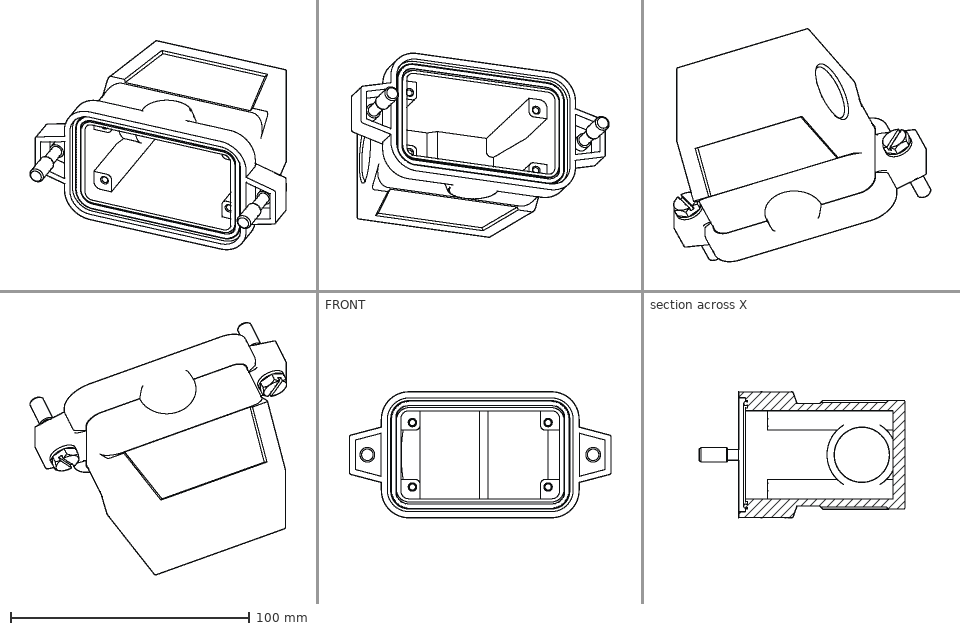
import cadquery as cq
import math


BODY_HALF_X = 36.6
BODY_HALF_Z = 21.6
BODY_RADIUS = 7.0
BACK_Y = 70.0
HOOD_START_Y = 34.0
HOOD_BACK_HALF_X = 29.9
HOOD_HALF_Z = 22.9
HOOD_EDGE_FILLET = 0.9
TAPER = (BODY_HALF_X - HOOD_BACK_HALF_X) / (BACK_Y - HOOD_START_Y)

RECESS_DEPTH = 0.9
RECESS_BACK_Y = 62.9
RECESS_BACK_HALF_X = 24.2

FLANGE_HALF_X = 41.6
FLANGE_HALF_Z = 26.5
FLANGE_TOP_Y = 12.2
FLANGE_SLOPE_Y = 2.2
FLANGE_SLOPE_IN = 4.7
FLANGE_RADIUS = 11.7
FLANGE_FILLET = 0.9

BOSS_BASE_RADIUS = 12.3
BOSS_TOP_RADIUS = 10.6
BOSS_FILLET = 1.0

EAR_TIP_X = 55.0
EAR_TIP_HALF_Z = 8.1
EAR_ROOT_HALF_Z = 11.7
EAR_FILLET = 1.1
EAR_WALL = 2.5

SCREW_X = 47.4
SHANK_RADIUS = 2.3
THREAD_RADIUS = 3.1
NECK_START_Y = 5.3
THREAD_START_Y = -4.6
SCREW_TIP_Y = -16.6
THREAD_CHAMFER = 0.4
TIP_CHAMFER = 0.7
WASHER_RADIUS = 5.9
WASHER_THICKNESS = 1.3
HEAD_CORNER_RADIUS = 6.0
HEAD_TOP_Y = 17.3
HEAD_CHAMFER = 0.9
SLOT_WIDTH = 1.5
SLOT_DEPTH = 1.8
SLOT_ANGLE = 30

CAVITY_HALF_X = 33.3
CAVITY_HALF_Z = 18.5
CAVITY_RADIUS = 3.3
CAVITY_TAPER_START_Y = 36.3
SHALLOW_FLOOR_HALF_X = 28.4
DEEP_FLOOR_Y = 64.9
SHALLOW_FLOOR_Y = 61.8
FLOOR_STEP_START_X = -0.2
FLOOR_STEP_END_X = 3.2
CAVITY_TAPER = (CAVITY_HALF_X - SHALLOW_FLOOR_HALF_X) / (SHALLOW_FLOOR_Y - CAVITY_TAPER_START_Y)

SEAT_HALF_X = 39.0
SEAT_HALF_Z = 23.9
SEAT_DEPTH = 2.8
SEAL_CENTER_HALF_X = 36.4
SEAL_CENTER_HALF_Z = 21.6
SEAL_CENTER_RADIUS = 6.5
SEAL_RADIUS = 0.94
SEAL_RISE = 0.8
GROOVE_INNER_HALF_X = 35.2
GROOVE_INNER_HALF_Z = 19.8
GROOVE_OUTER_GAP = 1.2
GROOVE_DEPTH = 0.9

POST_FRONT_Y = 12.1
POST_INNER_X = 25.3
POST_INNER_Z = 10.3
POST_FILLET = 2.1
POST_HOLE_X = 28.5
POST_HOLE_Z = 13.5
POST_HOLE_RADIUS = 1.3
POST_HOLE_DEPTH = 11.0
POST_HOLE_CHAMFER = 0.4

ENTRY_Y = 51.7
ENTRY_RADIUS = 11.5
ENTRY_RIM_RADIUS = 12.8
COLLAR_RADIUS = 14.6

SIDES = (-1, 1)


def plate(half_x, half_z, radius, start_y, end_y):
    """Rounded rectangle in XZ, extruded along +Y."""
    block = cq.Workplane("XZ", origin=(0, start_y, 0)).rect(2 * half_x, 2 * half_z)
    return block.extrude(start_y - end_y).edges("|Y").fillet(radius)


def disc(x, z, radius, start_y, end_y):
    """Cylinder along Y."""
    return cq.Workplane("XZ", origin=(x, start_y, z)).circle(radius).extrude(start_y - end_y)


def hood():
    """Square back with tapered ends; 45 degree bevels bring it down onto the rounded body."""
    bevel_inner_z = BODY_HALF_Z - BODY_RADIUS
    bevel_start_y = HOOD_START_Y - BODY_RADIUS
    bevel_end_y = HOOD_START_Y + HOOD_HALF_Z - BODY_HALF_Z
    side = (
        cq.Workplane("YZ", origin=(-BODY_HALF_X, 0, 0))
        .moveTo(bevel_start_y, bevel_inner_z)
        .lineTo(bevel_end_y, HOOD_HALF_Z)
        .lineTo(BACK_Y, HOOD_HALF_Z)
        .lineTo(BACK_Y, -HOOD_HALF_Z)
        .lineTo(bevel_end_y, -HOOD_HALF_Z)
        .lineTo(bevel_start_y, -bevel_inner_z)
        .close()
        .extrude(2 * BODY_HALF_X)
    )
    plan = (
        cq.Workplane("XY", origin=(0, 0, -HOOD_HALF_Z))
        .moveTo(-BODY_HALF_X, 0)
        .lineTo(-BODY_HALF_X, HOOD_START_Y)
        .lineTo(-HOOD_BACK_HALF_X, BACK_Y)
        .lineTo(HOOD_BACK_HALF_X, BACK_Y)
        .lineTo(BODY_HALF_X, HOOD_START_Y)
        .lineTo(BODY_HALF_X, 0)
        .close()
        .extrude(2 * HOOD_HALF_Z)
    )
    solid = side.intersect(plan)
    side_edges = solid.faces("<Z or >Z").edges("not(<Y)")
    back_edges = solid.faces(">Y").edges("|Z")
    return side_edges.add(back_edges).fillet(HOOD_EDGE_FILLET)


def label_recess(side):
    """Trapezoid recess with sloped walls, open towards the bevel."""
    length = RECESS_BACK_Y - HOOD_START_Y
    front_half_x = RECESS_BACK_HALF_X + TAPER * length

    def outline(plane, inset):
        return (
            plane.moveTo(-front_half_x + inset, HOOD_START_Y)
            .lineTo(-RECESS_BACK_HALF_X + inset, RECESS_BACK_Y - inset)
            .lineTo(RECESS_BACK_HALF_X - inset, RECESS_BACK_Y - inset)
            .lineTo(front_half_x - inset, HOOD_START_Y)
            .close()
        )

    floor_z = side * (HOOD_HALF_Z - RECESS_DEPTH)
    floor = outline(cq.Workplane("XY", origin=(0, 0, floor_z)), RECESS_DEPTH)
    return outline(floor.workplane(offset=side * RECESS_DEPTH), 0).loft(ruled=True)


def flange():
    """Rim plate whose back face slopes up to the body."""
    shoulder_y = FLANGE_TOP_Y - FLANGE_SLOPE_Y
    base = plate(FLANGE_HALF_X, FLANGE_HALF_Z, FLANGE_RADIUS, 0, shoulder_y)
    slope_angle = math.degrees(math.atan2(FLANGE_SLOPE_IN, FLANGE_SLOPE_Y))
    slope = base.faces(">Y").wires().toPending().workplane()
    solid = slope.extrude(FLANGE_SLOPE_Y, taper=slope_angle)
    shoulder_edges = solid.edges("not(|Y or <Y or >Y)").edges("<Y")
    return shoulder_edges.fillet(FLANGE_FILLET)


def boss(side):
    """Truncated cone standing on the body, flush with the flange."""
    height = FLANGE_HALF_Z - BODY_HALF_Z
    cone = cq.Workplane(cq.Solid.makeCone(BOSS_BASE_RADIUS, BOSS_TOP_RADIUS, height))
    cone = cone.faces(">Z").edges().fillet(BOSS_FILLET).translate((0, 0, BODY_HALF_Z))
    cone = cone.translate((0, FLANGE_TOP_Y, 0)).intersect(
        plate(FLANGE_HALF_X, FLANGE_HALF_Z, FLANGE_RADIUS, 0, HOOD_START_Y))
    return cone if side > 0 else cone.mirror("XY")


def ear(side):
    """Tapered lug that carries one screw."""
    solid = (
        cq.Workplane("XZ")
        .moveTo(side * BODY_HALF_X, -EAR_ROOT_HALF_Z)
        .lineTo(side * FLANGE_HALF_X, -EAR_ROOT_HALF_Z)
        .lineTo(side * EAR_TIP_X, -EAR_TIP_HALF_Z)
        .lineTo(side * EAR_TIP_X, EAR_TIP_HALF_Z)
        .lineTo(side * FLANGE_HALF_X, EAR_ROOT_HALF_Z)
        .lineTo(side * BODY_HALF_X, EAR_ROOT_HALF_Z)
        .close()
        .extrude(-FLANGE_TOP_Y)
    )
    tip = ">X" if side > 0 else "<X"
    solid = solid.faces(tip).edges("|Y").fillet(EAR_FILLET)
    return solid.faces(">Y").edges(tip).fillet(EAR_FILLET)


def ear_pocket(side):
    """Hollow under an ear, leaving an even wall."""
    tip_x = EAR_TIP_X - EAR_WALL
    slope = (EAR_ROOT_HALF_Z - EAR_TIP_HALF_Z) / (EAR_TIP_X - FLANGE_HALF_X)
    root_half_z = EAR_ROOT_HALF_Z - EAR_WALL * math.hypot(1, slope)
    tip_half_z = root_half_z - slope * (tip_x - FLANGE_HALF_X)
    return (
        cq.Workplane("XZ")
        .moveTo(side * FLANGE_HALF_X, -root_half_z)
        .lineTo(side * tip_x, -tip_half_z)
        .lineTo(side * tip_x, tip_half_z)
        .lineTo(side * FLANGE_HALF_X, root_half_z)
        .close()
        .extrude(-(FLANGE_TOP_Y - EAR_WALL))
    )


def screw(side):
    """Captive screw: slotted hexagon head, washer, neck, thin shank and threaded end."""
    washer_top_y = FLANGE_TOP_Y + WASHER_THICKNESS
    shank = disc(0, 0, SHANK_RADIUS, THREAD_START_Y, washer_top_y)
    neck = disc(0, 0, THREAD_RADIUS, NECK_START_Y, washer_top_y)
    thread = disc(0, 0, THREAD_RADIUS, SCREW_TIP_Y, THREAD_START_Y)
    thread = thread.faces(">Y").edges().chamfer(THREAD_CHAMFER)
    thread = thread.faces("<Y").edges().chamfer(TIP_CHAMFER)
    washer = disc(0, 0, WASHER_RADIUS, FLANGE_TOP_Y, washer_top_y)
    head_height = HEAD_TOP_Y - washer_top_y
    head = (
        cq.Workplane("XZ", origin=(0, washer_top_y, 0))
        .transformed(rotate=(0, 0, 90))
        .polygon(6, 2 * HEAD_CORNER_RADIUS)
        .extrude(-head_height)
    )
    crown = disc(0, 0, HEAD_CORNER_RADIUS, washer_top_y, HEAD_TOP_Y)
    crown = crown.faces(">Y").edges().chamfer(HEAD_CHAMFER)
    slot = (
        cq.Workplane("XZ", origin=(0, HEAD_TOP_Y - SLOT_DEPTH, 0))
        .transformed(rotate=(0, 0, SLOT_ANGLE))
        .rect(SLOT_WIDTH, 3 * HEAD_CORNER_RADIUS)
        .extrude(-SLOT_DEPTH)
    )
    left = shank.union(neck).union(thread).union(washer).union(head.intersect(crown).cut(slot))
    left = left.translate((-SCREW_X, 0, 0))
    return left if side < 0 else left.mirror("YZ")


def cavity():
    """Inside space: straight at the front, tapered behind, with a stepped floor."""
    deep_half_x = SHALLOW_FLOOR_HALF_X - CAVITY_TAPER * (DEEP_FLOOR_Y - SHALLOW_FLOOR_Y)
    plan = (
        cq.Workplane("XY", origin=(0, 0, -CAVITY_HALF_Z))
        .moveTo(-CAVITY_HALF_X, 0)
        .lineTo(-CAVITY_HALF_X, CAVITY_TAPER_START_Y)
        .lineTo(-deep_half_x, DEEP_FLOOR_Y)
        .lineTo(FLOOR_STEP_START_X, DEEP_FLOOR_Y)
        .lineTo(FLOOR_STEP_END_X, SHALLOW_FLOOR_Y)
        .lineTo(SHALLOW_FLOOR_HALF_X, SHALLOW_FLOOR_Y)
        .lineTo(CAVITY_HALF_X, CAVITY_TAPER_START_Y)
        .lineTo(CAVITY_HALF_X, 0)
        .close()
        .extrude(2 * CAVITY_HALF_Z)
    )
    return plate(CAVITY_HALF_X, CAVITY_HALF_Z, CAVITY_RADIUS, 0, BACK_Y).intersect(plan)


def post(side_x, side_z):
    """Corner post with its free corner rounded."""
    size_x = CAVITY_HALF_X - POST_INNER_X
    size_z = CAVITY_HALF_Z - POST_INNER_Z
    center = (side_x * (POST_INNER_X + size_x / 2), POST_FRONT_Y, side_z * (POST_INNER_Z + size_z / 2))
    free_corner = ("<X" if side_x > 0 else ">X", "<Z" if side_z > 0 else ">Z")
    solid = cq.Workplane("XZ", origin=center).rect(size_x, size_z).extrude(POST_FRONT_Y - BACK_Y)
    return solid.edges("|Y").edges(free_corner[0]).edges(free_corner[1]).fillet(POST_FILLET)


def post_hole(side_x, side_z):
    """Blind screw hole with a chamfered mouth."""
    x = side_x * POST_HOLE_X
    z = side_z * POST_HOLE_Z
    bore = disc(x, z, POST_HOLE_RADIUS, POST_FRONT_Y, POST_FRONT_Y + POST_HOLE_DEPTH)
    mouth = cq.Solid.makeCone(
        POST_HOLE_RADIUS + POST_HOLE_CHAMFER, POST_HOLE_RADIUS, POST_HOLE_CHAMFER,
        cq.Vector(x, POST_FRONT_Y, z), cq.Vector(0, 1, 0))
    return bore.union(cq.Workplane(mouth))


def along_x(radius, start_x, end_x):
    """Cylinder along X on the cable entry axis."""
    return cq.Workplane("YZ", origin=(start_x, ENTRY_Y, 0)).circle(radius).extrude(end_x - start_x)


def cable_entry():
    """Round hole through the -X wall and its collar, chamfered square to the tapered wall."""
    bore = along_x(ENTRY_RADIUS, -BODY_HALF_X, -POST_INNER_X)
    wall_x = -BODY_HALF_X + TAPER * (ENTRY_Y - HOOD_START_Y)
    rim_depth = ENTRY_RIM_RADIUS - ENTRY_RADIUS
    rim = cq.Solid.makeCone(
        ENTRY_RIM_RADIUS, ENTRY_RADIUS, rim_depth,
        cq.Vector(wall_x, ENTRY_Y, 0), cq.Vector(1, -TAPER, 0))
    return bore.union(cq.Workplane(rim))


def around_seal(offset, start_y, end_y):
    """Plate bounded by the seal line moved outwards by the offset."""
    half_x = SEAL_CENTER_HALF_X + offset
    half_z = SEAL_CENTER_HALF_Z + offset
    return plate(half_x, half_z, SEAL_CENTER_RADIUS + offset, start_y, end_y)


def seal_groove():
    """Groove in the seat, wider along the long sides on its inner side."""
    end_y = SEAT_DEPTH + GROOVE_DEPTH
    inner_radius = SEAL_CENTER_RADIUS - SEAL_CENTER_HALF_X + GROOVE_INNER_HALF_X
    lip = plate(GROOVE_INNER_HALF_X, GROOVE_INNER_HALF_Z, inner_radius, SEAT_DEPTH, end_y)
    return around_seal(GROOVE_OUTER_GAP, SEAT_DEPTH, end_y).cut(lip)


def seal():
    """Round cord that lies in the groove and stands above the seat."""
    center_y = SEAT_DEPTH - SEAL_RISE + SEAL_RADIUS
    path = around_seal(0, center_y, HOOD_START_Y).faces("<Y").wires()
    section = cq.Workplane("YZ").center(center_y, SEAL_CENTER_HALF_Z).circle(SEAL_RADIUS)
    return section.sweep(path)


shell = plate(BODY_HALF_X, BODY_HALF_Z, BODY_RADIUS, 0, HOOD_START_Y)
shell = shell.union(hood()).union(flange())
for side in SIDES:
    shell = shell.union(boss(side)).union(ear(side)).cut(label_recess(side))

collar = along_x(COLLAR_RADIUS, -BODY_HALF_X, -POST_INNER_X)
inside = cavity().cut(collar)
for side_x in SIDES:
    for side_z in SIDES:
        inside = inside.cut(post(side_x, side_z)).union(post_hole(side_x, side_z))
shell = shell.cut(inside).cut(cable_entry())

seat_radius = SEAL_CENTER_RADIUS + SEAT_HALF_X - SEAL_CENTER_HALF_X
shell = shell.cut(plate(SEAT_HALF_X, SEAT_HALF_Z, seat_radius, 0, SEAT_DEPTH))
shell = shell.cut(seal_groove()).union(seal())

for side in SIDES:
    shell = shell.cut(ear_pocket(side)).union(screw(side))

result = shell